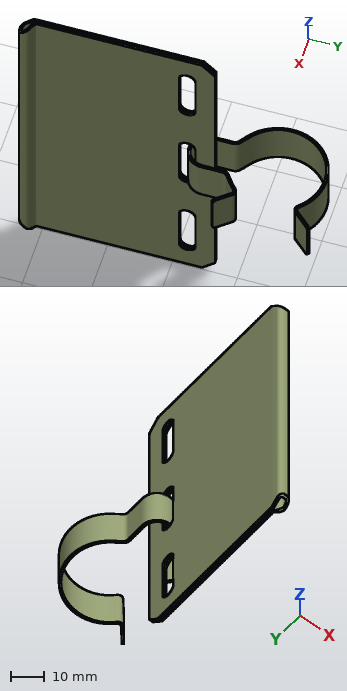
import cadquery as cq
import math

panel_height = 104.0
panel_depth = 60.0
panel_rear_y = -19.1
panel_thickness = 0.8
leaf_gap = 0.02
corner_chamfer = 4.0

bead_lead_in_turn = 4.0
bead_bend_radius = 1.2
bead_front_flat = 0.8
bead_side_flat = 0.5
bead_return_turn = 52.0
leaf_bend_radius = 0.8

slot_length = 20.1
slot_width = 5.0
slot_pitch = 34.7
slot_edge_distance = 8.5
slot_count = 3
cut_reach = 10.4

clip_height = 13.9
clip_thickness = 0.7
ring_outer_radius = 15.0
ring_radius = ring_outer_radius - clip_thickness / 2
loop_outer_radius = 5.7
loop_radius = loop_outer_radius - clip_thickness / 2
loop_bottom_y = -27.5
neck_bend_radius = 2.1
neck_slope = 37.0
lip_bend_radius = 1.4
upper_lip_ring_angle = 41.5
upper_lip_direction = 48.0
upper_lip_length = 6.8
lower_lip_ring_angle = -45.0
lower_lip_direction = -51.0
lower_lip_length = 6.2
lip_corner_radius = 1.0


def polar(center, radius, angle):
    """Point at a radius and an angle in degrees from a centre."""
    return (
        center[0] + radius * math.cos(math.radians(angle)),
        center[1] + radius * math.sin(math.radians(angle)),
    )


def trace(start, heading, steps):
    """Follow a strip's centreline and list, for each step, its points and their headings.

    Each step is ("straight", length) or ("bend", centreline radius, turn), left turns positive.
    """
    stations = [[(start, heading)]]
    for kind, size, *turns in steps:
        here, heading = stations[-1][-1]
        if kind == "straight":
            stations.append([(here, heading), (polar(here, size, heading), heading)])
        else:
            turn = turns[0]
            outward = heading - math.copysign(90, turn)
            center = polar(here, size, outward + 180)
            fractions = (0, 0.5, 1)
            stations.append([(polar(center, size, outward + turn * f), heading + turn * f) for f in fractions])
    return stations[1:]


def strip_side(stations, offset):
    """Edges of one side of a strip, at an offset to the left of its centreline."""
    edges = []
    for step in stations:
        points = [cq.Vector(*polar(point, offset, heading + 90)) for point, heading in step]
        make_edge = cq.Edge.makeLine if len(points) == 2 else cq.Edge.makeThreePointArc
        edges.append(make_edge(*points))
    return edges


def bent_strip(start, heading, steps, thickness, height):
    """Bent strip that stands along Z, centred on Z = 0."""
    stations = trace(start, heading, steps)
    left = strip_side(stations, thickness / 2)
    right = strip_side(stations, -thickness / 2)
    first_cap = cq.Edge.makeLine(left[0].startPoint(), right[0].startPoint())
    last_cap = cq.Edge.makeLine(left[-1].endPoint(), right[-1].endPoint())
    outline = cq.Wire.assembleEdges([*left, last_cap, *reversed(right), first_cap])
    return cq.Workplane("XY").add(outline).toPending().extrude(height / 2, both=True)


def fold_panel():
    """Sheet that runs down the left leaf, round the bead and back up the right leaf."""
    leaf_x = (panel_thickness + leaf_gap) / 2
    start = (-leaf_x, panel_rear_y)
    heading = -90

    front_arc_rise = panel_thickness / 2 + bead_bend_radius * (1 - math.sin(math.radians(bead_lead_in_turn)))
    lead_in_depth = corner_chamfer - front_arc_rise
    lead_in_radius = lead_in_depth / math.sin(math.radians(bead_lead_in_turn))
    steps = [
        ("straight", panel_depth - corner_chamfer),
        ("bend", lead_in_radius, bead_lead_in_turn),
        ("bend", bead_bend_radius, 90 - bead_lead_in_turn),
        ("straight", bead_front_flat),
        ("bend", bead_bend_radius, 90),
        ("straight", bead_side_flat),
        ("bend", bead_bend_radius, bead_return_turn),
    ]

    slant_start_x = trace(start, heading, steps)[-1][-1][0][0]
    reverse_bend_width = leaf_bend_radius * (1 - math.cos(math.radians(bead_return_turn)))
    slant_width = slant_start_x - leaf_x - reverse_bend_width
    steps += [
        ("straight", slant_width / math.sin(math.radians(bead_return_turn))),
        ("bend", leaf_bend_radius, -bead_return_turn),
    ]
    right_leaf_start_y = trace(start, heading, steps)[-1][-1][0][1]
    steps.append(("straight", panel_rear_y - right_leaf_start_y))
    return bent_strip(start, heading, steps, panel_thickness, panel_height)


def make_panel():
    """Folded panel with chamfered corners and a row of slots."""
    blank = (
        cq.Workplane("YZ")
        .center(panel_rear_y - panel_depth / 2, 0)
        .rect(panel_depth, panel_height)
        .extrude(cut_reach, both=True)
        .edges("|X")
        .chamfer(corner_chamfer)
    )
    slots = (
        cq.Workplane("YZ")
        .center(panel_rear_y - slot_edge_distance, 0)
        .rarray(1, slot_pitch, 1, slot_count)
        .slot2D(slot_length, slot_width, 90)
        .extrude(cut_reach, both=True)
    )
    return fold_panel().intersect(blank).cut(slots)


def make_clip():
    """Spring clip: upper lip, ring, neck, loop through the slot, neck and lower lip."""
    neck_turn = 90 - neck_slope
    slope = math.radians(neck_slope)

    neck_bend_width = neck_bend_radius * (1 - math.sin(slope))
    neck_flat = (ring_radius * math.sin(slope) - loop_radius - neck_bend_width) / math.cos(slope)
    neck_top_y = -ring_radius * math.cos(slope) - neck_flat * math.sin(slope)
    stem_top_y = neck_top_y - neck_bend_radius * math.cos(slope)
    stem_length = stem_top_y - (loop_bottom_y + loop_outer_radius)

    heading = upper_lip_direction + 180
    left_neck_angle = 270 - neck_slope
    right_neck_angle = -90 + neck_slope
    steps = [
        ("straight", upper_lip_length),
        ("bend", lip_bend_radius, upper_lip_ring_angle + 90 - heading),
        ("bend", ring_radius, left_neck_angle - upper_lip_ring_angle),
        ("straight", neck_flat),
        ("bend", neck_bend_radius, -neck_turn),
        ("straight", stem_length),
        ("bend", loop_radius, 180),
        ("straight", stem_length),
        ("bend", neck_bend_radius, -neck_turn),
        ("straight", neck_flat),
        ("bend", ring_radius, lower_lip_ring_angle - right_neck_angle),
        ("bend", lip_bend_radius, lower_lip_direction - (lower_lip_ring_angle + 90)),
        ("straight", lower_lip_length),
    ]
    lip_bend_center = polar((0, 0), ring_radius + lip_bend_radius, upper_lip_ring_angle)
    lip_bend_start = polar(lip_bend_center, lip_bend_radius, heading + 90)
    lip_tip = polar(lip_bend_start, upper_lip_length, upper_lip_direction)
    clip = bent_strip(lip_tip, heading, steps, clip_thickness, clip_height)

    tip_corners = [edge for edge in clip.edges().vals() if math.isclose(edge.Length(), clip_thickness)]
    return clip.newObject(tip_corners).fillet(lip_corner_radius)


panel = make_panel()
clip = make_clip()
result = cq.Compound.makeCompound([panel.val(), clip.val()])